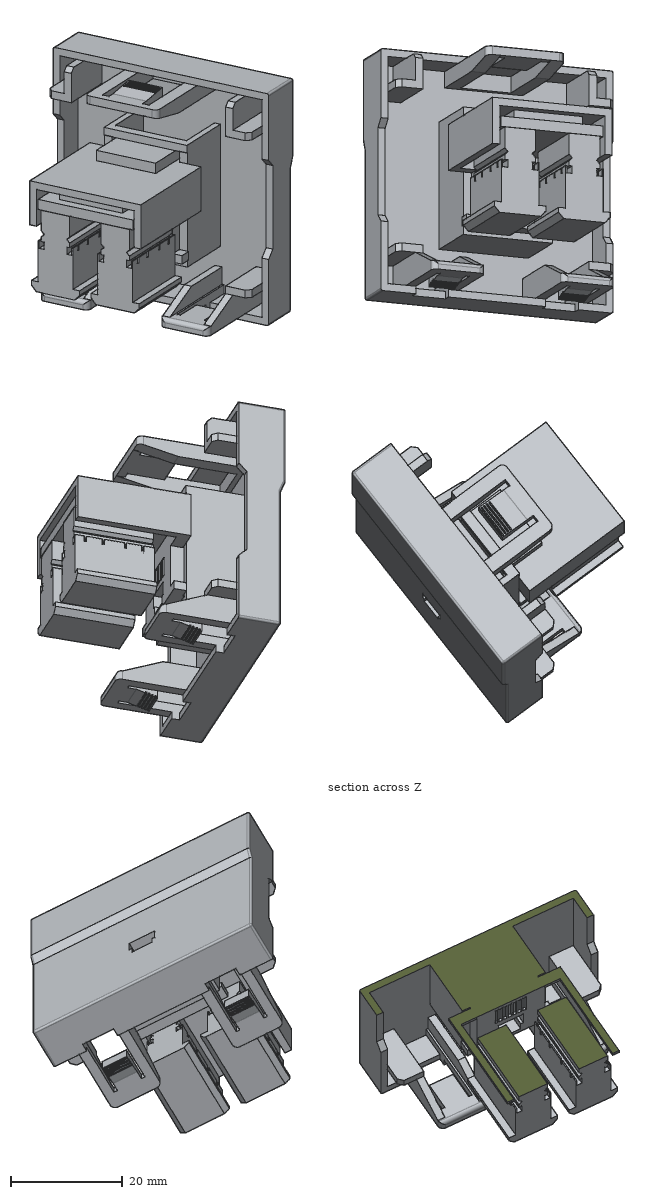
import cadquery as cq


FRAME = 45.0
HALF = FRAME / 2
FRAME_DEPTH = 8.9
WALL = 1.4
INNER = HALF - WALL
FLOOR_DEPTH = 2.4
EDGE_ROUND = 0.4
STEP_DEPTH = 0.9
STEP_TOP_Z = 7.4
STEP_BOTTOM_Z = 5.2
RIM_NOTCH_DEPTH = 1.5
RIM_NOTCH_HALF = 8.1

TAB_DEPTH = 13.3
TAB_THICK = 1.5
TAB_INNER_X = 16.1
TAB_INNER_Z = 14.5
TAB_CHAMFER = 0.9
RIB = 1.5
CORNER_ROUND = 1.05
SLOT = 0.7

TOP_CLIP_HALF = 7.55
TOP_CLIP_DEPTH = 23.05
TOP_CLIP_ROOT_Z = 18.05
TOP_CLIP_TIP_Z = 19.5
TOP_CLIP_SLOPE_DEPTH = 15.4
TOP_ARM = 2.7
TOP_WEB_DEPTH = 3.4
TOP_TONGUE_HALF = 3.5
TOP_TONGUE_DEPTH = 14.35
TOP_SLOT_END = 21.4
TOP_BARB_TOP_Z = 21.8
TOP_BARB_END = 20.0
TOOTH_PITCH = 0.6
TOOTH_WIDTH = 0.25
TOOTH_CUT = 0.35
TOOTH_COUNT = 4
BARB_CHEEK = 0.3

BOTTOM_CLIP_OUTER_X = TAB_INNER_X + RIB
BOTTOM_CLIP_INNER_X = 7.5
BOTTOM_CLIP_DEPTH = 22.05
BOTTOM_CLIP_ROOT_Z = -TAB_INNER_Z - TAB_THICK
BOTTOM_CLIP_TIP_Z = -19.35
TIP_ROUND = 0.8
BOTTOM_TONGUE_OUTER_X = 15.05
BOTTOM_TONGUE_INNER_X = 10.1
BOTTOM_TONGUE_DEPTH = 13.45
BOTTOM_SLOT_END = 19.1
BOTTOM_BARB_Z = -22.2
BOTTOM_BARB_END = 17.5

CLIP_RELIEF_DEPTH = 1.5

HOUSING_HALF = 8.65
HOUSING_TOP_Z = 11.6
HOUSING_BOTTOM_Z = -12.05
HOUSING_DEPTH = 14.35
HOUSING_WALL = 1.5
OPENING_HALF = 7.05
OPENING_BOTTOM_Z = -10.7
RIM_LAND_DEPTH = 12.4
LAND_OVERHANG = 0.15
POCKET_HALF = 7.4
RAMP_REAR_Z = 7.3
RAMP_FRONT_Z = 5.4

JACK_DEPTH = 35.8
BODY_DEPTH = 16.7
BODY_BOTTOM_Z = -10.55
FOOT_HALF = 9.0
FOOT_TOP_Z = -8.9
COVER_HALF = 11.6
COVER_TOP_Z = 8.05
COVER_BOTTOM_Z = -0.5
COVER_WALL = 1.4
LATCH_HALF = 6.2
LATCH_DEPTH = 21.3
LATCH_TOP_Z = 10.05
RIDGE_HALF = 6.6
RIDGE_SETBACK = 2.0
BAR_HALF = 9.9
BAR_SETBACK = 0.1
BAR_TOP_Z = 4.75
BAR_BOTTOM_Z = 2.8

TOWER_START = 20.7
TOWER_X = 6.23
TOWER_NECK_HALF = 2.98
TOWER_HALF = 3.65
FLANGE_HALF = 5.03
FLANGE_TOP_Z = -11.2
FLANGE_SIDE_Z = -12.1
TOWER_BOTTOM_Z = -13.2
FLANGE_BOTTOM_HALF = 4.0
NOTCH = 0.6
NOTCH_Z = -1.75
SHOULDER_Z = -3.25
GROOVE_BOTTOM_Z = -4.65
LIP = 0.25
LIP_SLOT_DEPTHS = (22.9, 26.2, 30.4, 33.8)
LIP_SLOT_WIDTH = 0.4
LIP_SLOT_BOTTOM_Z = -4.3

PORT_HALF = 2.6
PORT_TOP_Z = -5.65
PORT_STEP_Z = -8.25
PORT_STEP_HALF = 2.05
PORT_BOTTOM_Z = -9.75
CONTACT_COUNT = 6
CONTACT_PITCH = 0.99
CONTACT_WIDTH = 0.3
CONTACT_HEIGHT = 0.5
CONTACT_RECESS_HALF = 3.2
CONTACT_CENTRE_X = -0.13
CONTACT_TOP_Z = -0.8
CONTACT_BOTTOM_Z = -4.5


def block(x, depth, z):
    """Box between two x values, two depths and two z values."""
    size = (x[1] - x[0], depth[1] - depth[0], z[1] - z[0])
    return cq.Workplane("XY").box(*size, centered=False).translate((x[0], -depth[1], z[0]))


def side_profile(points, x0, x1):
    """Outline of (depth, z) points, extruded from x0 to x1."""
    outline = [(-depth, z) for depth, z in points]
    return cq.Workplane("YZ", origin=(x0, 0, 0)).polyline(outline).close().extrude(x1 - x0)


def rear_profile(points, start, end):
    """Outline of (x, z) points, extruded between two depths."""
    return cq.Workplane("XZ", origin=(0, -start, 0)).polyline(points).close().extrude(end - start)


def mirrored(shape):
    """The shape together with its mirror image on the other side of x = 0."""
    return shape.union(shape.mirror("YZ"))


def make_frame():
    outline = [
        (0, HALF),
        (FRAME_DEPTH, HALF),
        (FRAME_DEPTH, -HALF),
        (STEP_DEPTH, -HALF),
        (STEP_DEPTH, STEP_BOTTOM_Z),
        (0, STEP_TOP_Z),
    ]
    frame = side_profile(outline, -HALF, HALF)
    frame = frame.edges("not (<Y or (|X exc (>Z or <Z)))").fillet(EDGE_ROUND)
    inner = (-INNER, INNER)
    frame = frame.cut(block(inner, (FLOOR_DEPTH, FRAME_DEPTH), inner))
    shallow = FRAME_DEPTH - RIM_NOTCH_DEPTH
    wide = RIM_NOTCH_HALF + RIM_NOTCH_DEPTH
    notch = [
        (shallow, RIM_NOTCH_HALF),
        (FRAME_DEPTH, wide),
        (FRAME_DEPTH, -wide),
        (shallow, -RIM_NOTCH_HALF),
    ]
    return frame.cut(side_profile(notch, -HALF, HALF))


def make_corner_tab(top):
    """L-shaped tab in the left corner, at the top or at the bottom of the frame."""
    depth = (FLOOR_DEPTH, TAB_DEPTH)
    shelf = block((-INNER, -TAB_INNER_X), depth, (TAB_INNER_Z, TAB_INNER_Z + TAB_THICK))
    shelf = shelf.edges("|Z and <X and <Y").chamfer(TAB_CHAMFER)
    leg = block((-TAB_INNER_X - TAB_THICK, -TAB_INNER_X), depth, (TAB_INNER_Z, INNER))
    if top:
        return shelf.union(leg.edges("|X and >Z and <Y").chamfer(TAB_CHAMFER))
    return shelf.union(leg).mirror("XY")


def make_top_clip():
    half = TOP_CLIP_HALF
    outline = [
        (FLOOR_DEPTH, INNER),
        (TOP_CLIP_DEPTH, INNER),
        (TOP_CLIP_DEPTH, TOP_CLIP_TIP_Z),
        (TOP_CLIP_SLOPE_DEPTH, TOP_CLIP_ROOT_Z),
        (FLOOR_DEPTH, TOP_CLIP_ROOT_Z),
    ]
    clip = side_profile(outline, -half, half)
    clip = clip.edges("|Z and <Y").fillet(CORNER_ROUND)
    gap_half = half - TOP_ARM
    gap = (-gap_half, gap_half)
    below_tip = (TOP_CLIP_ROOT_Z, TOP_CLIP_TIP_Z)
    clip = clip.cut(block(gap, (TOP_WEB_DEPTH, TOP_CLIP_DEPTH), below_tip))
    clip = clip.cut(block(gap, (TOP_WEB_DEPTH, TOP_SLOT_END), (TOP_CLIP_TIP_Z, INNER)))
    return clip.union(make_top_tongue())


def make_top_tongue():
    """Spring tongue with a serrated barb between two plain cheeks."""
    half = TOP_TONGUE_HALF
    start = TOP_TONGUE_DEPTH
    outline = [
        (start, TOP_CLIP_TIP_Z),
        (start, TOP_BARB_TOP_Z),
        (TOP_BARB_END, INNER),
        (TOP_SLOT_END, INNER),
        (TOP_SLOT_END, TOP_CLIP_TIP_Z),
    ]
    tongue = side_profile(outline, -half, half)
    slope = (INNER - TOP_BARB_TOP_Z) / (TOP_BARB_END - start)
    tooth_half = half - BARB_CHEEK
    return tongue.cut(make_tooth_grooves((-tooth_half, tooth_half), start, TOP_BARB_TOP_Z, slope))


def make_tooth_grooves(x, start, crest_z, slope):
    """Cutters for the grooves across a barb that starts at crest_z and falls by slope per depth."""
    grooves = cq.Workplane("XY")
    for index in range(TOOTH_COUNT):
        depth = start + TOOTH_WIDTH + index * TOOTH_PITCH
        surface_z = crest_z + slope * (depth - start)
        groove_z = (surface_z - TOOTH_CUT, surface_z + TOOTH_CUT)
        grooves = grooves.add(block(x, (depth, depth + TOOTH_WIDTH), groove_z))
    return grooves.combine()


def make_bottom_clip():
    """Left bottom clip: plate with two sloped ribs and a barbed spring tongue."""
    outer, inner = -BOTTOM_CLIP_OUTER_X, -BOTTOM_CLIP_INNER_X
    plate = (-INNER, BOTTOM_CLIP_TIP_Z)
    clip = block((outer, inner), (FLOOR_DEPTH, BOTTOM_CLIP_DEPTH), plate)
    clip = clip.edges("|X and >Z and <Y").fillet(TIP_ROUND)
    rib = [
        (FLOOR_DEPTH, -INNER),
        (BOTTOM_CLIP_DEPTH - CORNER_ROUND, -INNER),
        (BOTTOM_CLIP_DEPTH - CORNER_ROUND, BOTTOM_CLIP_TIP_Z),
        (TAB_DEPTH, BOTTOM_CLIP_ROOT_Z),
        (FLOOR_DEPTH, BOTTOM_CLIP_ROOT_Z),
    ]
    clip = clip.union(side_profile(rib, outer, outer + RIB))
    clip = clip.union(side_profile(rib, inner - RIB, inner))
    envelope = block((outer, inner), (FLOOR_DEPTH, BOTTOM_CLIP_DEPTH), (-INNER, BOTTOM_CLIP_ROOT_Z))
    clip = clip.intersect(envelope.edges("|Z and <Y").fillet(CORNER_ROUND))
    tongue = (-BOTTOM_TONGUE_OUTER_X, -BOTTOM_TONGUE_INNER_X)
    window = (tongue[0] - SLOT, tongue[1] + SLOT)
    clip = clip.cut(block(window, (FLOOR_DEPTH, BOTTOM_SLOT_END), plate))
    clip = clip.union(block(tongue, (BOTTOM_TONGUE_DEPTH, BOTTOM_SLOT_END), plate))
    barb = [
        (BOTTOM_TONGUE_DEPTH, -INNER),
        (BOTTOM_BARB_END, -INNER),
        (BOTTOM_TONGUE_DEPTH, BOTTOM_BARB_Z),
    ]
    clip = clip.union(side_profile(barb, *tongue))
    slope = (-INNER - BOTTOM_BARB_Z) / (BOTTOM_BARB_END - BOTTOM_TONGUE_DEPTH)
    return clip.cut(make_tooth_grooves(tongue, BOTTOM_TONGUE_DEPTH, BOTTOM_BARB_Z, slope))


def make_clip_relief():
    """Cutter for the notch in the bottom wall's rear rim at the left bottom clip."""
    x = (-BOTTOM_TONGUE_OUTER_X - SLOT, -BOTTOM_TONGUE_INNER_X + SLOT)
    return block(x, (FRAME_DEPTH - CLIP_RELIEF_DEPTH, FRAME_DEPTH), (-HALF, -INNER))


def make_housing():
    half = HOUSING_HALF
    housing = block((-half, half), (FLOOR_DEPTH, HOUSING_DEPTH), (HOUSING_BOTTOM_Z, HOUSING_TOP_Z))
    opening_z = (OPENING_BOTTOM_Z, HOUSING_TOP_Z - HOUSING_WALL)
    housing = housing.cut(block((-OPENING_HALF, OPENING_HALF), (RIM_LAND_DEPTH, HOUSING_DEPTH), opening_z))
    short_depth = (HOUSING_DEPTH - LAND_OVERHANG, HOUSING_DEPTH)
    housing = housing.cut(block((-half, half), short_depth, (HOUSING_BOTTOM_Z, opening_z[1])))
    pocket = [
        (FLOOR_DEPTH, HOUSING_TOP_Z),
        (RIM_LAND_DEPTH, HOUSING_TOP_Z),
        (RIM_LAND_DEPTH, RAMP_REAR_Z),
        (FLOOR_DEPTH, RAMP_FRONT_Z),
    ]
    return housing.cut(side_profile(pocket, -POCKET_HALF, POCKET_HALF))


def make_jack():
    body_x = (-OPENING_HALF, OPENING_HALF)
    jack = block(body_x, (RIM_LAND_DEPTH, BODY_DEPTH), (BODY_BOTTOM_Z, COVER_TOP_Z))
    foot_z = (BODY_BOTTOM_Z, FOOT_TOP_Z)
    jack = jack.union(block((-FOOT_HALF, FOOT_HALF), (HOUSING_DEPTH, BODY_DEPTH), foot_z))
    cover_z = (COVER_BOTTOM_Z, COVER_TOP_Z)
    cover = block((-COVER_HALF, COVER_HALF), (HOUSING_DEPTH, JACK_DEPTH), cover_z)
    cavity_half = COVER_HALF - COVER_WALL
    cavity_z = (COVER_BOTTOM_Z, COVER_TOP_Z - COVER_WALL)
    cover = cover.cut(block((-cavity_half, cavity_half), (BODY_DEPTH, JACK_DEPTH), cavity_z))
    jack = jack.union(cover)
    latch_z = (COVER_TOP_Z, LATCH_TOP_Z)
    jack = jack.union(block((-LATCH_HALF, LATCH_HALF), (RIM_LAND_DEPTH, LATCH_DEPTH), latch_z))
    ridge_depth = (BODY_DEPTH, JACK_DEPTH - RIDGE_SETBACK)
    jack = jack.union(block((-RIDGE_HALF, RIDGE_HALF), ridge_depth, (BAR_TOP_Z, COVER_TOP_Z - COVER_WALL)))
    bar_depth = (BODY_DEPTH, JACK_DEPTH - BAR_SETBACK)
    return jack.union(block((-BAR_HALF, BAR_HALF), bar_depth, (BAR_BOTTOM_Z, BAR_TOP_Z)))


def make_tower():
    """Left wiring tower, symmetric about its own middle plane."""
    neck = TOWER_NECK_HALF
    half_outline = [
        (neck, BAR_BOTTOM_Z),
        (neck, NOTCH_Z + NOTCH),
        (neck - NOTCH, NOTCH_Z),
        (neck, NOTCH_Z - NOTCH),
        (neck, SHOULDER_Z),
        (neck - NOTCH, SHOULDER_Z),
        (neck - NOTCH, GROOVE_BOTTOM_Z),
        (TOWER_HALF - LIP, GROOVE_BOTTOM_Z),
        (TOWER_HALF - LIP, SHOULDER_Z),
        (TOWER_HALF, SHOULDER_Z),
        (TOWER_HALF, FLANGE_TOP_Z),
        (FLANGE_HALF, FLANGE_TOP_Z),
        (FLANGE_HALF, FLANGE_SIDE_Z),
        (FLANGE_BOTTOM_HALF, TOWER_BOTTOM_Z),
    ]
    outline = half_outline + [(-x, z) for x, z in reversed(half_outline)]
    tower = rear_profile(outline, TOWER_START, JACK_DEPTH)
    for depth in LIP_SLOT_DEPTHS:
        slot_depth = (depth - LIP_SLOT_WIDTH / 2, depth + LIP_SLOT_WIDTH / 2)
        slot_z = (LIP_SLOT_BOTTOM_Z, SHOULDER_Z)
        for lip_x in ((-TOWER_HALF, LIP - TOWER_HALF), (TOWER_HALF - LIP, TOWER_HALF)):
            tower = tower.cut(block(lip_x, slot_depth, slot_z))
    return tower.translate((-TOWER_X, 0, 0))


def make_contact_recess():
    """Cutter for the shallow recess behind the contacts, which stay standing as thin upright ribs."""
    depth = (BODY_DEPTH - CONTACT_HEIGHT, BODY_DEPTH)
    z = (CONTACT_BOTTOM_Z, CONTACT_TOP_Z)
    recess = block((-CONTACT_RECESS_HALF, CONTACT_RECESS_HALF), depth, z)
    first = CONTACT_CENTRE_X - CONTACT_PITCH * (CONTACT_COUNT - 1) / 2 - CONTACT_WIDTH / 2
    for index in range(CONTACT_COUNT):
        left = first + index * CONTACT_PITCH
        recess = recess.cut(block((left, left + CONTACT_WIDTH), depth, z))
    return recess


def make_port():
    """Cutter for the stepped plug opening through the whole jack."""
    outline = [
        (-PORT_HALF, PORT_TOP_Z),
        (PORT_HALF, PORT_TOP_Z),
        (PORT_HALF, PORT_STEP_Z),
        (PORT_STEP_HALF, PORT_STEP_Z),
        (PORT_STEP_HALF, PORT_BOTTOM_Z),
        (-PORT_STEP_HALF, PORT_BOTTOM_Z),
        (-PORT_STEP_HALF, PORT_STEP_Z),
        (-PORT_HALF, PORT_STEP_Z),
    ]
    return rear_profile(outline, 0, BODY_DEPTH)


result = make_frame()
result = result.union(mirrored(make_corner_tab(top=True)))
result = result.union(mirrored(make_corner_tab(top=False)))
result = result.union(make_top_clip())
result = result.union(mirrored(make_bottom_clip()))
result = result.cut(mirrored(make_clip_relief()))
result = result.union(make_housing())
result = result.union(make_jack())
result = result.union(mirrored(make_tower()))
result = result.cut(make_contact_recess())
result = result.cut(make_port())